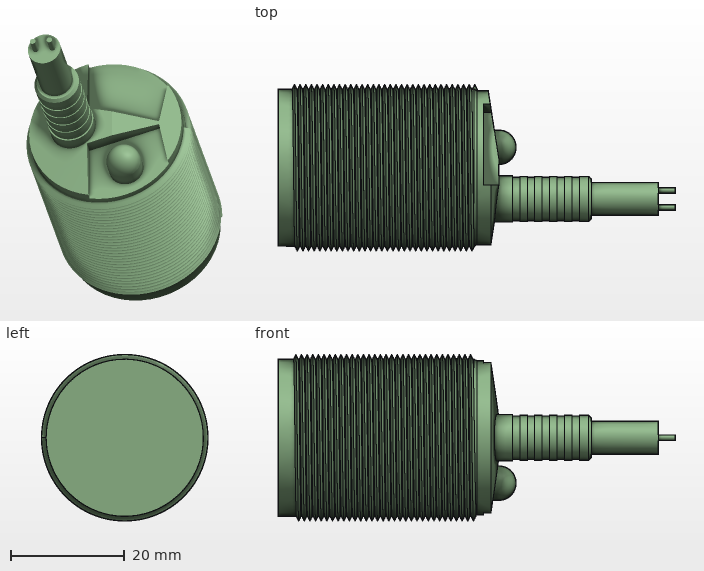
import cadquery as cq
import math


barrel_radius = 13.85
barrel_length = 35.0
barrel_chamfer_length = 0.5
cap_radius = 13.6

thread_radius = 14.68
thread_pitch = 0.993
thread_turns = 32
thread_start = 2.88
thread_root_width = 0.84
thread_embed = 0.2

cap_cone_start = 37.5
cap_end = 38.9
cap_cone_angle = 8.75

pocket_floor_x = 36.2
pocket_near_y = -3.0
rib_near_half_height = 3.6
pocket_corner_y = 9.7
pocket_corner_z = 0.3
pocket_far_y = 11.2
pocket_far_z = math.sqrt(cap_radius**2 - pocket_far_y**2)
rib_slope_start_y = 1.5

lamp_radius = 3.05
lamp_y = 3.6
lamp_z = -8.0
lamp_dome_x = cap_end
lamp_embed = 1.0

cable_y = -5.5
relief_start = pocket_floor_x
relief_end = 55.2
relief_collar_end = 41.3
relief_collar_radius = 4.1
relief_radius = 4.0
relief_end_chamfer = 0.5
relief_groove_count = 5
relief_groove_pitch = 2.62
relief_groove_width = 1.3
relief_groove_radius = 3.85
jacket_radius = 2.92
jacket_end = 67.0
wire_radius = 0.5
wire_spacing = 3.0
wire_end = 70.0


def rod(start_x, end_x, radius, y=0.0, z=0.0):
    """Cylinder along X between two stations."""
    return cq.Workplane("YZ", origin=(start_x, y, z)).circle(radius).extrude(end_x - start_x)


def housing_core():
    """Barrel and conical cap, turned around the X axis."""
    cone_drop = (cap_end - cap_cone_start) / math.tan(math.radians(cap_cone_angle))
    return (
        cq.Workplane("XY")
        .moveTo(0, 0)
        .lineTo(0, barrel_radius)
        .lineTo(barrel_length - barrel_chamfer_length, barrel_radius)
        .lineTo(barrel_length, cap_radius)
        .lineTo(cap_cone_start, cap_radius)
        .lineTo(cap_end, cap_radius - cone_drop)
        .lineTo(cap_end, 0)
        .close()
        .revolve(360, (0, 0, 0), (1, 0, 0))
    )


def thread_ridge():
    """Triangular ridge swept on a helix around Z, then turned so that its axis is X and it starts at +Y."""
    helix = cq.Wire.makeHelix(thread_pitch, thread_pitch * thread_turns, barrel_radius)
    flank_slope = (thread_root_width / 2) / (thread_radius - barrel_radius)
    base_radius = barrel_radius - thread_embed
    base_half_width = flank_slope * (thread_radius - base_radius)
    ridge = (
        cq.Workplane("XZ")
        .moveTo(base_radius, -base_half_width)
        .lineTo(thread_radius, 0)
        .lineTo(base_radius, base_half_width)
        .close()
        .sweep(cq.Workplane(helix), isFrenet=True)
    )
    return ridge.rotate((0, 0, 0), (1, 1, 1), 120).translate((thread_start, 0, 0))


def upper_pocket():
    """Recess above the rib, open to the rear and to the outside."""
    clear = 2 * cap_radius
    return (
        cq.Workplane("YZ", origin=(pocket_floor_x, 0, 0))
        .moveTo(pocket_near_y, rib_near_half_height)
        .lineTo(pocket_corner_y, pocket_corner_z)
        .lineTo(pocket_far_y, pocket_far_z)
        .lineTo(pocket_far_y, clear)
        .lineTo(pocket_near_y, clear)
        .close()
        .extrude(cap_end - pocket_floor_x)
    )


def rib_slope_cut():
    """Wedge that slopes the rear of the rib down towards +Y."""
    outer_y = 2 * cap_radius
    slope_run = (outer_y - rib_slope_start_y) * math.tan(math.radians(cap_cone_angle))
    return (
        cq.Workplane("XY", origin=(0, 0, -cap_radius))
        .moveTo(cap_end, rib_slope_start_y)
        .lineTo(cap_end, outer_y)
        .lineTo(cap_end - slope_run, outer_y)
        .close()
        .extrude(2 * cap_radius)
    )


def lamp():
    """Round lamp with a hemispherical end."""
    stem = rod(pocket_floor_x - lamp_embed, lamp_dome_x, lamp_radius, lamp_y, lamp_z)
    dome = cq.Workplane("XY").sphere(lamp_radius).translate((lamp_dome_x, lamp_y, lamp_z))
    return stem.union(dome)


def build_housing():
    pocket = upper_pocket()
    body = housing_core().cut(rib_slope_cut()).cut(pocket).cut(pocket.mirror("XY"))
    body = body.cut(rod(relief_start, cap_end, relief_collar_radius, cable_y))
    return body.union(lamp()).union(thread_ridge())


def build_cable():
    cable = rod(relief_start, relief_collar_end, relief_collar_radius, cable_y)
    sleeve = rod(relief_collar_end, relief_end, relief_radius, cable_y)
    cable = cable.union(sleeve.faces(">X").chamfer(relief_end_chamfer))
    for index in range(relief_groove_count):
        start = relief_collar_end + index * relief_groove_pitch
        end = start + relief_groove_width
        ring = rod(start, end, relief_collar_radius, cable_y)
        cable = cable.cut(ring.cut(rod(start, end, relief_groove_radius, cable_y)))
    cable = cable.union(rod(relief_end, jacket_end, jacket_radius, cable_y))
    for side in (-1, 1):
        cable = cable.union(rod(jacket_end, wire_end, wire_radius, cable_y + side * wire_spacing / 2))
    return cable


housing = build_housing()
cable = build_cable()
result = cq.Compound.makeCompound([housing.solids().val(), cable.solids().val()])